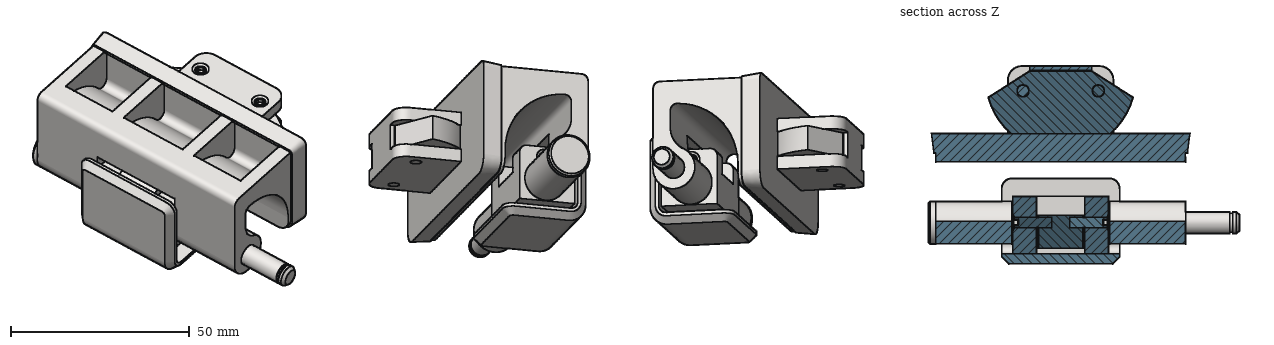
import cadquery as cq
import math


clearance = 0.3

pin_radius = 3.05
pin_length = 87.0
pin_head_radius = 6.0
pin_head_length = 2.0
pin_head_chamfer = 0.5
groove_depth = 0.35
groove_width = 0.8
groove_to_tip = 1.9
tip_chamfer_length = 1.0
tip_chamfer_depth = 0.8

housing_length = 69.95
housing_top = 24.9
wall_thickness = 5.0
top_fillet = 2.0
barrel_radius = pin_head_radius
barrel_fillet = 7.0
arch_radius = 18.0
arch_crown = 18.4
arch_fillet = 2.0
lip_front = 18.4
lip_bottom = -5.3
lip_corner_radius = 3.8
wall_front = -barrel_radius
wall_back = wall_front + wall_thickness
arch_y = lip_front - arch_radius
arch_z = arch_crown - arch_radius

plate_back = 25.0
plate_thickness = 5.5
plate_length = 72.4
plate_top = 26.1
plate_bottom = -6.3
plate_inset = 0.7
plate_top_radius = 2.0
plate_bottom_radius = 4.4
plate_front = plate_back - plate_thickness

outer_pocket_length = 16.5
middle_pocket_length = 20.9
pocket_rib = 4.0
pocket_front = 1.8
pocket_back = 20.4
pocket_floor_thickness = 2.5
pocket_fillet = 2.0
pocket_undercut_top = 24.5

window_width = 27.3
window_top = 13.6
window_reach = 8.7

tab_width = 29.6
tab_end = 43.85
tab_thickness = 3.65
tab_radius = 4.0
tab_gap = 7.1
tab_gap_middle = 9.8
web_thickness = 1.2
web_width = 17.4
tab_gap_top = tab_gap_middle + tab_gap / 2
tab_gap_bottom = tab_gap_middle - tab_gap / 2
tabs_top = tab_gap_top + tab_thickness
tabs_bottom = tab_gap_bottom - tab_thickness

sector_radius = 21.05
sector_centre_y = 40.7
sector_corner_x = 20.3
sector_slope = 0.64
sector_height = tab_gap - clearance
sector_end = tab_end - web_thickness - clearance
sector_corner_y = sector_centre_y - math.sqrt(sector_radius**2 - sector_corner_x**2)

screw_radius = 1.6
countersink_radius = 2.35
countersink_depth = 0.35
socket_width = 2.1
socket_depth = 1.05
socket_point_depth = 0.5
tab_screw_x = 10.5
tab_screw_y = 36.9
tab_screw_length = tabs_top - tabs_bottom - countersink_depth
cam_screw_y = 0.1
cam_screw_length = 10.4

latch_width = 33.1
latch_outer = -11.6
latch_thickness = 3.0
latch_top = 14.8
latch_back = 12.4
latch_chamfer = 2.0
latch_corner_radius = 3.0
latch_bend_radius = 5.05
latch_inner = latch_outer + latch_thickness

knuckle_width = 26.8
knuckle_back = 7.4
knuckle_top = 9.75
knuckle_bottom = -6.1
knuckle_fillet = 2.0
slot_width = 13.4
slot_floor = 3.65

cam_width = 12.5
cam_y = -2.8
cam_z = 6.7
cam_radius = 5.0
cam_flat_y = -7.1


def box(x_range, y_range, z_range):
    sizes = [high - low for low, high in (x_range, y_range, z_range)]
    corner = (x_range[0], y_range[0], z_range[0])
    return cq.Workplane("XY").box(*sizes, centered=False).translate(corner)


def centred(width):
    return (-width / 2, width / 2)


def x_cylinder(radius, length, y=0.0, z=0.0):
    return cq.Workplane("YZ").center(y, z).circle(radius).extrude(length / 2, both=True)


def edge_near(body, y, z):
    return body.edges(cq.selectors.NearestToPointSelector((0, y, z)))



def make_screw(length):
    corner_diameter = socket_width / math.cos(math.pi / 6)
    socket = cq.Workplane("XY").polygon(6, corner_diameter).extrude(-socket_depth)
    point = cq.Solid.makeCone(
        socket_width / 2, 0, socket_point_depth, pnt=cq.Vector(0, 0, -socket_depth), dir=cq.Vector(0, 0, -1)
    )
    socket = socket.rotate((0, 0, 0), (0, 0, 1), 30)
    return cq.Workplane("XY").circle(screw_radius).extrude(-length).cut(socket).cut(cq.Workplane(point))


def make_screw_hole(length):
    profile = (
        cq.Workplane("XZ")
        .moveTo(0, -length)
        .lineTo(screw_radius, -length)
        .lineTo(screw_radius, 0)
        .lineTo(countersink_radius, countersink_depth)
        .lineTo(0, countersink_depth)
        .close()
    )
    return profile.revolve(360, (0, 0, 0), (0, 1, 0))


def at_tabs(shape):
    """Copies of a vertical screw or hole at both tab screw positions."""
    height = tabs_top - countersink_depth
    return [shape.translate((x, tab_screw_y, height)) for x in (-tab_screw_x, tab_screw_x)]


def at_lugs(shape):
    """Copies of a screw or hole turned to face outwards from both lugs."""
    reach = knuckle_width / 2 - countersink_depth
    return [
        shape.rotate((0, 0, 0), (0, 1, 0), 90 * side).translate((side * reach, cam_screw_y, cam_z))
        for side in (-1, 1)
    ]


def cut_all(body, tools):
    for tool in tools:
        body = body.cut(tool)
    return body


tab_screw_holes = at_tabs(make_screw_hole(tab_screw_length))
cam_screw_holes = at_lugs(make_screw_hole(cam_screw_length))



def make_arch():
    diagonal = arch_radius * math.sqrt(0.5)
    root = (plate_front + plate_back) / 2
    arch = (
        cq.Workplane("YZ")
        .moveTo(wall_front, 0)
        .lineTo(wall_front, housing_top)
        .lineTo(root, housing_top)
        .lineTo(root, lip_bottom)
        .lineTo(lip_front, lip_bottom)
        .lineTo(lip_front, arch_z)
        .threePointArc((arch_y + diagonal, arch_z + diagonal), (arch_y, arch_crown))
        .lineTo(wall_back, arch_crown)
        .lineTo(wall_back, 0)
        .close()
        .extrude(housing_length / 2, both=True)
    )
    arch = edge_near(arch, wall_front, housing_top).fillet(top_fillet)
    arch = edge_near(arch, wall_back, arch_crown).fillet(arch_fillet)
    lip_corners = cq.selectors.BoxSelector(
        (-housing_length, lip_front, lip_bottom - 0.9), (housing_length, plate_back, lip_bottom + 0.9)
    )
    return arch.edges("|Y").edges(lip_corners).fillet(lip_corner_radius)


def make_barrel():
    """Barrel with the concave blend that joins it to the inside of the front wall."""
    blend_y = wall_back + barrel_fillet
    blend_z = math.sqrt((barrel_radius + barrel_fillet) ** 2 - blend_y**2)
    contact = barrel_radius / (barrel_radius + barrel_fillet)
    blend = (
        cq.Workplane("YZ")
        .moveTo(wall_back, blend_z)
        .lineTo(wall_back, 0)
        .lineTo(0, 0)
        .lineTo(blend_y * contact, blend_z * contact)
        .close()
        .extrude(housing_length / 2, both=True)
        .cut(x_cylinder(barrel_fillet, housing_length, blend_y, blend_z))
    )
    return x_cylinder(barrel_radius, housing_length).union(blend)


def make_plate():
    half = plate_length / 2
    return (
        cq.Workplane("XZ", origin=(0, plate_back, 0))
        .moveTo(plate_top_radius - half, plate_top)
        .lineTo(half - plate_top_radius, plate_top)
        .radiusArc((half, plate_top - plate_top_radius), plate_top_radius)
        .lineTo(half, plate_bottom + plate_bottom_radius)
        .radiusArc((half - plate_bottom_radius, plate_bottom), plate_bottom_radius)
        .lineTo(plate_bottom_radius - half, plate_bottom)
        .radiusArc((-half, plate_bottom + plate_bottom_radius), plate_bottom_radius)
        .lineTo(-half, plate_top - plate_top_radius)
        .radiusArc((plate_top_radius - half, plate_top), plate_top_radius)
        .close()
        .extrude(plate_thickness, taper=math.degrees(math.atan(plate_inset / plate_thickness)))
    )


def make_pocket(x, length):
    """Pocket with a floor that follows the arch and a back wall undercut into the back plate."""
    floor_radius = arch_radius + pocket_floor_thickness
    fillet_y = pocket_back - pocket_fillet
    fillet_z = arch_z + math.sqrt((floor_radius + pocket_fillet) ** 2 - (fillet_y - arch_y) ** 2)
    contact = floor_radius / (floor_radius + pocket_fillet)
    contact_y = arch_y + (fillet_y - arch_y) * contact
    contact_z = arch_z + (fillet_z - arch_z) * contact
    front_z = arch_z + math.sqrt(floor_radius**2 - (pocket_front - arch_y) ** 2)
    return (
        cq.Workplane("YZ", origin=(x, 0, 0))
        .moveTo(pocket_front, housing_top)
        .lineTo(pocket_front, front_z)
        .radiusArc((contact_y, contact_z), floor_radius)
        .radiusArc((pocket_back, fillet_z), -pocket_fillet)
        .lineTo(pocket_back, pocket_undercut_top)
        .lineTo(plate_front, pocket_undercut_top)
        .lineTo(plate_front, housing_top)
        .close()
        .extrude(length / 2, both=True)
    )


def make_tabs():
    tabs = box(centred(web_width), (tab_end - web_thickness, tab_end), (tab_gap_bottom, tab_gap_top))
    for bottom in (tabs_bottom, tab_gap_top):
        tab = box(centred(tab_width), (plate_back, tab_end), (bottom, bottom + tab_thickness))
        tabs = tabs.union(tab.edges("|Z and >Y").fillet(tab_radius))
    return tabs


def make_housing():
    body = make_arch().union(make_barrel()).union(make_plate()).union(make_tabs())
    pitch = middle_pocket_length / 2 + pocket_rib + outer_pocket_length / 2
    for x in (-pitch, pitch):
        body = body.cut(make_pocket(x, outer_pocket_length))
    body = body.cut(make_pocket(0, middle_pocket_length))
    window = box(centred(window_width), (-window_reach, window_reach), (-window_reach, window_top))
    body = body.cut(window).cut(x_cylinder(pin_radius, housing_length))
    return cut_all(body, tab_screw_holes)



def make_sector():
    end_x = sector_corner_x - (sector_end - sector_corner_y) / sector_slope
    base_x = math.sqrt(sector_radius**2 - (sector_centre_y - plate_back) ** 2)
    body = (
        cq.Workplane("XY", origin=(0, 0, tab_gap_bottom + clearance))
        .moveTo(-end_x, sector_end)
        .lineTo(end_x, sector_end)
        .lineTo(sector_corner_x, sector_corner_y)
        .radiusArc((base_x, plate_back), sector_radius)
        .lineTo(-base_x, plate_back)
        .radiusArc((-sector_corner_x, sector_corner_y), sector_radius)
        .close()
        .extrude(sector_height)
    )
    return cut_all(body, tab_screw_holes)



def make_pin():
    head_end = -housing_length / 2 - pin_head_length
    shoulder = -housing_length / 2
    tip = head_end + pin_length
    groove_end = tip - groove_to_tip
    groove_start = groove_end - groove_width
    profile = (
        cq.Workplane("XZ")
        .moveTo(head_end, 0)
        .lineTo(head_end, pin_head_radius - pin_head_chamfer)
        .lineTo(head_end + pin_head_chamfer, pin_head_radius)
        .lineTo(shoulder, pin_head_radius)
        .lineTo(shoulder, pin_radius)
        .lineTo(groove_start, pin_radius)
        .lineTo(groove_start, pin_radius - groove_depth)
        .lineTo(groove_end, pin_radius - groove_depth)
        .lineTo(groove_end, pin_radius)
        .lineTo(tip - tip_chamfer_length, pin_radius)
        .lineTo(tip, pin_radius - tip_chamfer_depth)
        .lineTo(tip, 0)
        .close()
    )
    return profile.revolve(360, (0, 0, 0), (1, 0, 0))



def make_latch():
    width = centred(latch_width)
    leg = box(width, (latch_outer, latch_inner), (latch_outer, latch_top))
    leg = leg.edges("|Y and >Z").fillet(latch_corner_radius)
    foot = box(width, (latch_outer, latch_back), (latch_outer, latch_inner))
    foot = foot.edges("|Z and >Y").fillet(latch_corner_radius)
    body = leg.union(foot)
    body = edge_near(body, latch_outer, latch_outer).fillet(latch_bend_radius)
    body = edge_near(body, latch_inner, latch_inner).fillet(latch_bend_radius - latch_thickness)
    body = body.faces("<Y").chamfer(latch_chamfer)
    pad = box(centred(slot_width), (latch_inner, knuckle_back), (latch_inner, knuckle_bottom - clearance))
    return body.union(pad)



def make_knuckle():
    body = box(centred(knuckle_width), (latch_inner, knuckle_back), (knuckle_bottom, knuckle_top))
    body = body.edges("|X and >Y and >Z").fillet(knuckle_fillet)
    slot = box(centred(slot_width), (latch_inner, knuckle_back), (slot_floor, knuckle_top))
    body = body.cut(slot).cut(x_cylinder(pin_radius, knuckle_width))
    return cut_all(body, cam_screw_holes)



def make_cam():
    body = x_cylinder(cam_radius, cam_width, cam_y, cam_z)
    kept = box(centred(cam_width), (cam_flat_y, cam_y + cam_radius), (slot_floor, cam_z + cam_radius))
    return cut_all(body.intersect(kept), cam_screw_holes)


housing = make_housing()
sector = make_sector()
pin = make_pin()
latch = make_latch()
knuckle = make_knuckle()
cam = make_cam()
tab_screws = at_tabs(make_screw(tab_screw_length))
cam_screws = at_lugs(make_screw(cam_screw_length))

result = cq.Compound.makeCompound(
    [
        housing.val(),
        sector.val(),
        pin.val(),
        latch.val(),
        knuckle.val(),
        cam.val(),
        *[screw.val() for screw in tab_screws + cam_screws],
    ]
)